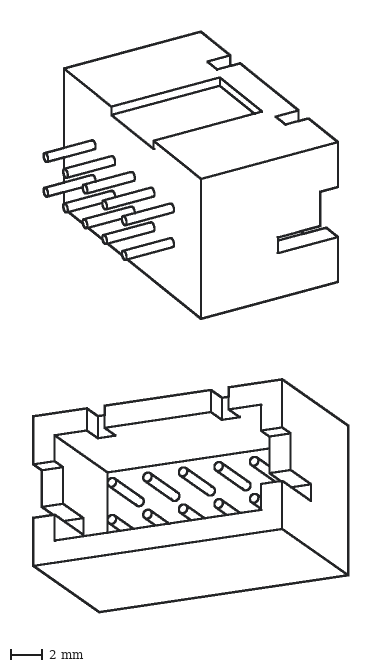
import cadquery as cq


width = 17.5
depth = 10.1
height = 10.1
wall = 1.5
floor_thickness = 2.0

columns = 5
rows = 2
pitch = 2.5
pin_diameter = 0.6
pin_tail = 3.5
pin_tip_recess = 3.87

latch_height = 3.6
latch_depth = 1.3
latch_slot_height = 1.13
latch_slot_depth = 4.42

key_width = 1.25
key_depth = 1.7
key_offset = 4.36

recess_width = 5.4
recess_length = 8.0
recess_depth = 0.6

mating_y = depth / 2
back_y = -depth / 2
top_z = height / 2
latch_bottom_z = -latch_height / 2


def block(size_x, size_y, size_z, x, y, z):
    """Box centred on x that grows from y and z along +Y and +Z."""
    return cq.Workplane("XY").box(size_x, size_y, size_z, centered=(True, False, False)).translate((x, y, z))


def make_housing():
    """Outer block hollowed from the mating face."""
    outer = cq.Workplane("XY").box(width, depth, height)
    cavity_height = height - 2 * wall
    cavity = block(
        width - 2 * wall,
        depth - floor_thickness,
        cavity_height,
        0,
        back_y + floor_thickness,
        -cavity_height / 2,
    )
    return outer.cut(cavity)


def cut_latch_openings(body):
    """Stepped opening through both end walls: a shallow notch with a deeper slot along its bottom."""
    notch = block(width, latch_depth, latch_height, 0, mating_y - latch_depth, latch_bottom_z)
    slot = block(width, latch_slot_depth, latch_slot_height, 0, mating_y - latch_slot_depth, latch_bottom_z)
    return body.cut(notch).cut(slot)


def cut_key_notches(body):
    """Two notches through the top wall at the mating edge."""
    for x in (-key_offset, key_offset):
        body = body.cut(block(key_width, key_depth, wall, x, mating_y - key_depth, top_z - wall))
    return body


def cut_top_recess(body):
    """Flat recess on the top face that runs out at the back."""
    return body.cut(block(recess_width, recess_length, recess_depth, 0, back_y, top_z - recess_depth))


def add_pins(body):
    """Round pins through the floor, from inside the cavity to beyond the back."""
    pin_length = depth - pin_tip_recess + pin_tail
    pins = (
        cq.Workplane("XZ", origin=(0, mating_y - pin_tip_recess, 0))
        .rarray(pitch, pitch, columns, rows)
        .circle(pin_diameter / 2)
        .extrude(pin_length)
    )
    return body.union(pins)


housing = make_housing()
housing = cut_latch_openings(housing)
housing = cut_key_notches(housing)
housing = cut_top_recess(housing)
result = add_pins(housing)